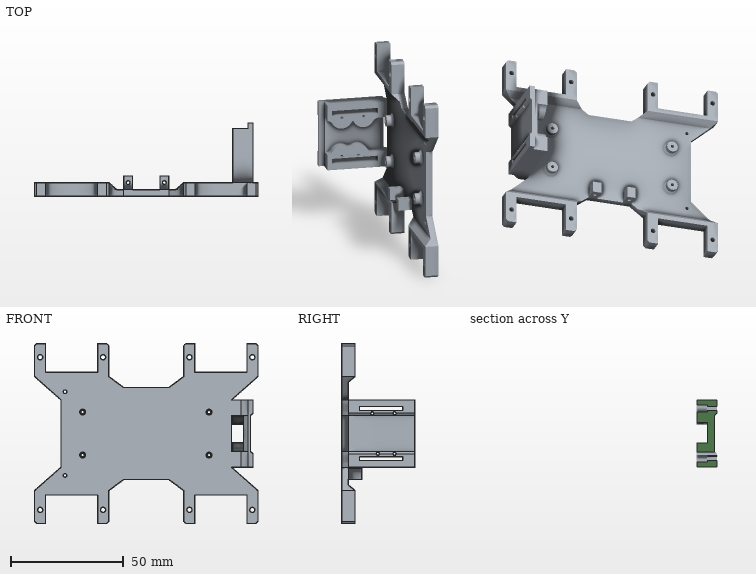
import cadquery as cq
import math

LENGTH = 99.1
HEIGHT = 79.7
PLATE_THICKNESS = 3.0
BAND_THICKNESS = 6.0
HALF_LENGTH = LENGTH / 2
HALF_HEIGHT = HEIGHT / 2

ARM_WIDTH = 5.0
ARM_CHAMFER = 1.0
INNER_ARM_X = 16.6
ARM_ROOT_Z = 25.3
NOTCH_Z = 27.3
WAIST_X = 10.0
WAIST_Z = 20.4
END_X = 37.9
END_Z = 15.0
BAND_RAMP = 2.6

ARM_HOLE_DIAMETER = 2.2
ARM_HOLE_X = (19.1, 47.0)
ARM_HOLE_Z = 33.8
PILOT_DIAMETER = 1.5
PILOT_X = -36.0
PILOT_Z = 18.5

STANDOFF_DIAMETER = 5.0
STANDOFF_SPACING = 56.0
STANDOFF_CENTRE_X = -0.2
STANDOFF_Z = 9.5
STANDOFF_FLARE = 1.0
STANDOFF_BORE = 1.5
STANDOFF_MOUTH = 2.6
MOUTH_DEPTH = (STANDOFF_MOUTH - STANDOFF_BORE) / 2

TAB_WIDTH = 4.0
TAB_X = 8.0
TAB_TOP_Y = 9.0
TAB_DEPTH = 5.0
TAB_HOLE_DIAMETER = 1.6
TAB_HOLE_Y = 6.0

WALL_DEPTH = 32.5
RIB_END_Y = 30.0
RIB_X = 38.3
PANEL_X = 43.0
LIP_X = 45.0
WALL_X = 47.4
RELIEF_DEPTH = 1.1
RIB_INNER_Z = 7.9
RIB_HOLE_DIAMETER = 1.3
RIB_HOLE_Z = 8.9
PAD_RADIUS = 5.0
BLEND_RADIUS = 3.0
UPPER_HOLES_Y = (13.6, 23.5)
LOWER_HOLES_Y = (16.1, 23.5)

SLOT_Y = 17.5
SLOT_Z = 11.1
SLOT_LENGTH = 19.0
SLOT_WIDTH = 1.6
RECESS_LENGTH = 21.0
RECESS_WIDTH = 2.7


def box(x_range, y_range, z_range):
    """Axis-aligned box between the given limits."""
    (x0, x1), (y0, y1), (z0, z1) = x_range, y_range, z_range
    return cq.Workplane("XY").box(x1 - x0, y1 - y0, z1 - z0, centered=False).translate((x0, y0, z0))


def rod_y(diameter, x, z, y0, y1):
    """Cylinder along Y."""
    return cq.Workplane("XZ", origin=(x, y0, z)).circle(diameter / 2).extrude(y0 - y1)


def cone_y(start_diameter, end_diameter, x, z, y0, y1):
    """Cone along +Y from y0 to y1."""
    cone = cq.Solid.makeCone(
        start_diameter / 2, end_diameter / 2, y1 - y0, cq.Vector(x, y0, z), cq.Vector(0, 1, 0)
    )
    return cq.Workplane(obj=cone)


def rod_x(diameter, y, z):
    """Cylinder along X through the whole wall."""
    return cq.Workplane("YZ", origin=(RIB_X, y, z)).circle(diameter / 2).extrude(WALL_X - RIB_X)


def plate():
    """H-shaped plate with eight arms, thick along its top and bottom bands."""
    quarter = [
        (WAIST_X, WAIST_Z),
        (INNER_ARM_X, ARM_ROOT_Z),
        (INNER_ARM_X, HALF_HEIGHT - ARM_CHAMFER),
        (INNER_ARM_X + ARM_CHAMFER, HALF_HEIGHT),
        (INNER_ARM_X + ARM_WIDTH, HALF_HEIGHT),
        (INNER_ARM_X + ARM_WIDTH, NOTCH_Z),
        (HALF_LENGTH - ARM_WIDTH, NOTCH_Z),
        (HALF_LENGTH - ARM_WIDTH, HALF_HEIGHT),
        (HALF_LENGTH - ARM_CHAMFER, HALF_HEIGHT),
        (HALF_LENGTH, HALF_HEIGHT - ARM_CHAMFER),
        (HALF_LENGTH, ARM_ROOT_Z),
        (END_X, END_Z),
    ]
    right_half = quarter + [(x, -z) for x, z in reversed(quarter)]
    left_half = [(-x, -z) for x, z in right_half]
    body = cq.Workplane("XZ").polyline(right_half + left_half).close().extrude(-BAND_THICKNESS)

    ramp_foot = ARM_ROOT_Z - BAND_RAMP
    hollow = (
        cq.Workplane("YZ")
        .polyline([
            (PLATE_THICKNESS, -ramp_foot),
            (BAND_THICKNESS, -ARM_ROOT_Z),
            (BAND_THICKNESS, ARM_ROOT_Z),
            (PLATE_THICKNESS, ramp_foot),
        ])
        .close()
        .extrude(HALF_LENGTH, both=True)
    )
    return body.cut(hollow)


def wall_block():
    """Solid block of the wall, bevelled where it leaves the plate, with a thin lip at the rear."""
    bevel_start = LIP_X - PLATE_THICKNESS
    return (
        cq.Workplane("XY", origin=(0, 0, -END_Z))
        .polyline([
            (RIB_X, PLATE_THICKNESS),
            (END_X, PLATE_THICKNESS),
            (END_X, 0),
            (bevel_start, 0),
            (LIP_X, PLATE_THICKNESS),
            (WALL_X, PLATE_THICKNESS),
            (WALL_X, WALL_DEPTH),
            (LIP_X, WALL_DEPTH),
            (LIP_X, RIB_END_Y),
            (RIB_X, RIB_END_Y),
        ])
        .close()
        .extrude(2 * END_Z)
    )


def wall_hollow():
    """Space between the ribs, opening through the front of the plate as a window."""
    overhang = LIP_X - PANEL_X
    return (
        cq.Workplane("XY", origin=(0, 0, -RIB_INNER_Z))
        .polyline([
            (END_X, 0),
            (LIP_X, 0),
            (LIP_X, PLATE_THICKNESS),
            (PANEL_X, PLATE_THICKNESS + overhang),
            (PANEL_X, RIB_END_Y),
            (END_X, RIB_END_Y),
        ])
        .close()
        .extrude(2 * RIB_INNER_Z)
    )


def rounded_pad(y, side):
    """Round pad about a rib hole, blended into the rib's inner edge by concave arcs."""
    rise = RIB_HOLE_Z - RIB_INNER_Z
    blend_z = RIB_INNER_Z - BLEND_RADIUS
    reach = math.sqrt((PAD_RADIUS + BLEND_RADIUS) ** 2 - (rise + BLEND_RADIUS) ** 2)
    share = PAD_RADIUS / (PAD_RADIUS + BLEND_RADIUS)
    tangent_y = reach * share
    tangent_z = RIB_HOLE_Z - (rise + BLEND_RADIUS) * share
    tangent_angle = math.atan2(tangent_z - blend_z, reach - tangent_y)
    mid_angle = (math.pi / 2 + tangent_angle) / 2
    mid_y = reach - BLEND_RADIUS * math.cos(mid_angle)
    mid_z = blend_z + BLEND_RADIUS * math.sin(mid_angle)
    return (
        cq.Workplane("YZ", origin=(RIB_X, 0, 0))
        .moveTo(y - reach, side * RIB_INNER_Z)
        .threePointArc((y - mid_y, side * mid_z), (y - tangent_y, side * tangent_z))
        .threePointArc((y, side * (RIB_HOLE_Z - PAD_RADIUS)), (y + tangent_y, side * tangent_z))
        .threePointArc((y + mid_y, side * mid_z), (y + reach, side * RIB_INNER_Z))
        .close()
        .extrude(PANEL_X - RIB_X)
    )


def pad_bridge(y0, y1, side):
    """Concave fill, tangent to both, between two overlapping pads."""
    mid_y = (y0 + y1) / 2
    offset = abs(y1 - y0) / 2
    drop = math.sqrt((PAD_RADIUS + BLEND_RADIUS) ** 2 - offset**2)
    share = BLEND_RADIUS / (PAD_RADIUS + BLEND_RADIUS)
    blend_z = RIB_HOLE_Z - drop
    tangent_y = offset * share
    tangent_z = blend_z + drop * share
    return (
        cq.Workplane("YZ", origin=(RIB_X, 0, 0))
        .moveTo(mid_y - tangent_y, side * tangent_z)
        .threePointArc((mid_y, side * (blend_z + BLEND_RADIUS)), (mid_y + tangent_y, side * tangent_z))
        .lineTo(mid_y, side * RIB_INNER_Z)
        .close()
        .extrude(PANEL_X - RIB_X)
    )


def wall():
    """Wall with two scalloped ribs."""
    body = wall_block().cut(wall_hollow())
    pads = [(y, 1) for y in UPPER_HOLES_Y] + [(y, -1) for y in LOWER_HOLES_Y]
    room = box((RIB_X, WALL_X), (PLATE_THICKNESS, RIB_END_Y), (-END_Z, END_Z))
    for y, side in pads:
        body = body.union(rounded_pad(y, side).intersect(room))
    body = body.union(pad_bridge(*LOWER_HOLES_Y, -1))
    for y, side in pads:
        body = body.cut(rod_x(RIB_HOLE_DIAMETER, y, side * RIB_HOLE_Z))
    for side in (1, -1):
        body = body.cut(slot(side * SLOT_Z))
    return body.cut(outer_relief())


def slot(z):
    """Through slot with a wider recess as deep as the rib."""
    def opening(x0, x1, length, width):
        return box(
            (x0, x1), (SLOT_Y - length / 2, SLOT_Y + length / 2), (z - width / 2, z + width / 2)
        )
    recess = opening(RIB_X, PANEL_X, RECESS_LENGTH, RECESS_WIDTH)
    return recess.union(opening(RIB_X, WALL_X, SLOT_LENGTH, SLOT_WIDTH))


def outer_relief():
    """Shallow channel with bevelled sides along the outer face of the wall."""
    floor_x = WALL_X - RELIEF_DEPTH
    mouth_z = RIB_INNER_Z + RELIEF_DEPTH
    return (
        cq.Workplane("XZ")
        .polyline([
            (floor_x, -RIB_INNER_Z),
            (WALL_X, -mouth_z),
            (WALL_X, mouth_z),
            (floor_x, RIB_INNER_Z),
        ])
        .close()
        .extrude(-WALL_DEPTH)
    )


def standoff(x, z):
    """Flared round standoff."""
    flare_end = PLATE_THICKNESS + STANDOFF_FLARE
    foot = STANDOFF_DIAMETER + 2 * STANDOFF_FLARE
    return rod_y(STANDOFF_DIAMETER, x, z, 0, BAND_THICKNESS).union(
        cone_y(foot, STANDOFF_DIAMETER, x, z, PLATE_THICKNESS, flare_end)
    )


def standoff_bore(x, z):
    """Bore through plate and standoff with a tapered mouth at the front."""
    return rod_y(STANDOFF_BORE, x, z, 0, BAND_THICKNESS).union(
        cone_y(STANDOFF_MOUTH, STANDOFF_BORE, x, z, 0, MOUTH_DEPTH)
    )


def tab(x):
    """Drilled tab standing on the rear of the lower waist edge."""
    body = box(
        (x - TAB_WIDTH / 2, x + TAB_WIDTH / 2), (0, TAB_TOP_Y), (-WAIST_Z, TAB_DEPTH - WAIST_Z)
    )
    hole = (
        cq.Workplane("XY", origin=(x, TAB_HOLE_Y, -WAIST_Z))
        .circle(TAB_HOLE_DIAMETER / 2)
        .extrude(TAB_DEPTH)
    )
    return body.cut(hole)


def mounting_holes():
    """Clearance holes in the arms and two pilot holes near the -X end."""
    pilots = [(PILOT_X, PILOT_Z), (PILOT_X, -PILOT_Z)]
    holes = cq.Workplane("XZ").pushPoints(pilots).circle(PILOT_DIAMETER / 2).extrude(-PLATE_THICKNESS)
    for arm_x in ARM_HOLE_X:
        for side_x in (1, -1):
            for side_z in (1, -1):
                hole = rod_y(
                    ARM_HOLE_DIAMETER, side_x * arm_x, side_z * ARM_HOLE_Z, 0, BAND_THICKNESS
                )
                holes = holes.union(hole)
    return holes


result = plate().union(wall()).cut(mounting_holes())

for side_x in (1, -1):
    result = result.union(tab(side_x * TAB_X))
    standoff_x = STANDOFF_CENTRE_X + side_x * STANDOFF_SPACING / 2
    for side_z in (1, -1):
        standoff_z = side_z * STANDOFF_Z
        result = result.union(standoff(standoff_x, standoff_z))
        result = result.cut(standoff_bore(standoff_x, standoff_z))